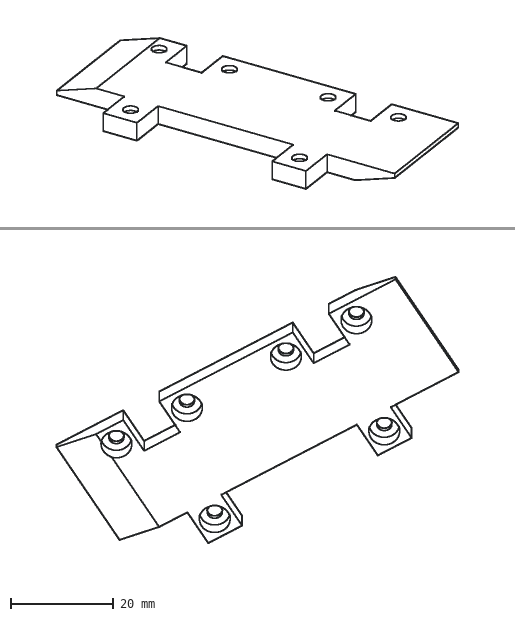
import cadquery as cq

length = 77.0
total_width = 32.2
thickness = 4.0

taper_length = 9.0
edge_thickness = 1.0

tab_spacing = length / 2
tab_width = 7.7
tab_length = 8.0
notch_width = 8.2
notch_depth = tab_length

hole_diameter = 3.0
counterbore_diameter = 6.0
counterbore_roof = 1.0
hole_edge_distance = tab_length / 2
rear_hole_offset = 8.0

body_width = total_width - tab_length
half_length = length / 2
front_y = -body_width / 2
rear_y = body_width / 2
tab_centres = (-tab_spacing / 2, tab_spacing / 2)


def block(center_x, width, y_start, y_end):
    """Full-thickness rectangular block spanning y_start to y_end."""
    solid = cq.Workplane("XY").box(width, y_end - y_start, thickness, centered=(True, False, False))
    return solid.translate((center_x, y_start, 0))


def tapered_body():
    """Plate sloping down at the -X end and undercut at the +X end."""
    profile = [
        (-half_length, 0),
        (half_length - taper_length, 0),
        (half_length, thickness - edge_thickness),
        (half_length, thickness),
        (-half_length + taper_length, thickness),
        (-half_length, edge_thickness),
    ]
    return cq.Workplane("XZ").polyline(profile).close().extrude(body_width / 2, both=True)


def mounting_holes():
    """Through holes counterbored from below: one per tab and one on each side of each notch."""
    points = []
    for x in tab_centres:
        points.append((x, front_y - tab_length + hole_edge_distance))
        for side in (-1, 1):
            points.append((x + side * rear_hole_offset, rear_y - hole_edge_distance))
    holes = cq.Workplane("XY").pushPoints(points)
    holes = holes.circle(hole_diameter / 2).extrude(thickness)
    counterbores = cq.Workplane("XY").pushPoints(points)
    counterbores = counterbores.circle(counterbore_diameter / 2).extrude(thickness - counterbore_roof)
    return holes.union(counterbores)


result = tapered_body()
for tab_x in tab_centres:
    result = result.union(block(tab_x, tab_width, front_y - tab_length, front_y))
    result = result.cut(block(tab_x, notch_width, rear_y - notch_depth, rear_y))
result = result.cut(mounting_holes())